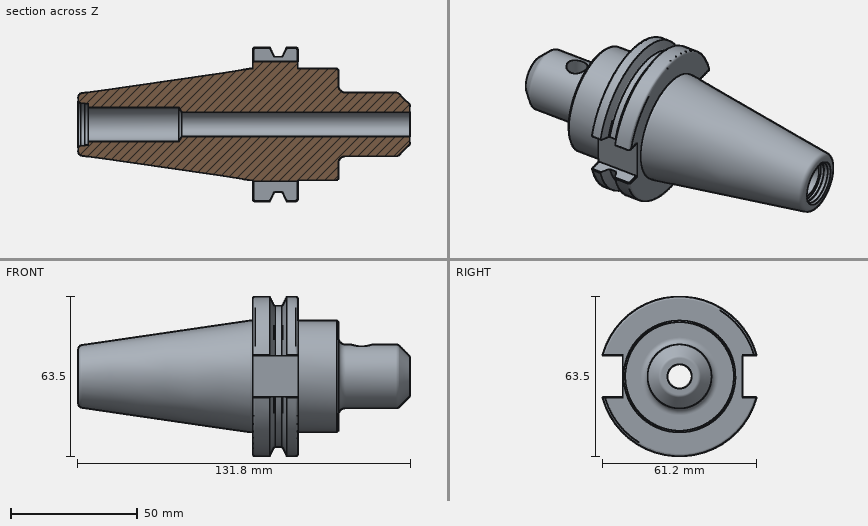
import cadquery as cq
import math

TOLERANCE = 0.01

gauge_radius = 44.45 / 2
taper_length = 68.25
taper_slope = 7 / 48
small_end_radius = gauge_radius - taper_length * taper_slope
small_end_fillet = 1.9

flange_front = 1.0
flange_rear = 19.05
flange_radius = 63.5 / 2
flange_edge_fillet = 1.0
groove_center = 11.2
groove_floor_radius = 28.1
groove_floor_half = 3.2 / 2
groove_mouth_half = 6.8 / 2
groove_floor_fillet = 0.5

slot_width = 16.3
slot_floor_minus_y = 22.6
slot_floor_plus_y = 25.0
slot_wall_chamfer = 0.4

collar_radius = gauge_radius
collar_rear = 35.1
collar_edge_chamfer = 0.7
pilot_radius = 25.4 / 2
pilot_root_fillet = 2.7
pilot_end = 63.5
pilot_chamfer = 4.8
pilot_chamfer_fillet = 1.5
pilot_end_fillet = 1.5

through_bore_radius = 9.53 / 2
thread_bore_radius = 13.39 / 2
thread_bore_depth = 40.0
drill_tip_angle = 118
mouth_radius = 16.8 / 2
mouth_depth = 2.7
mouth_chamfer_depth = 1.0
mouth_chamfer_half_angle = 30
counterbore_radius = 16.3 / 2
counterbore_depth = 4.0

cross_hole_diameter = 8.38
cross_hole_x = 44.3


def revolve_about_x(profile):
    return profile.close().revolve(360, (0, 0, 0), (1, 0, 0))


def turned_body():
    """Outer shape of taper, flange, collar and pilot, before its edges are rounded."""
    profile = (
        cq.Workplane("XZ")
        .moveTo(-taper_length, 0)
        .lineTo(-taper_length, small_end_radius)
        .lineTo(0, gauge_radius)
        .lineTo(flange_front, gauge_radius)
        .lineTo(flange_front, flange_radius)
        .lineTo(groove_center - groove_mouth_half, flange_radius)
        .lineTo(groove_center - groove_floor_half, groove_floor_radius)
        .lineTo(groove_center + groove_floor_half, groove_floor_radius)
        .lineTo(groove_center + groove_mouth_half, flange_radius)
        .lineTo(flange_rear, flange_radius)
        .lineTo(flange_rear, collar_radius)
        .lineTo(collar_rear - collar_edge_chamfer, collar_radius)
        .lineTo(collar_rear, collar_radius - collar_edge_chamfer)
        .lineTo(collar_rear, pilot_radius)
        .lineTo(pilot_end - pilot_chamfer, pilot_radius)
        .lineTo(pilot_end, pilot_radius - pilot_chamfer)
        .lineTo(pilot_end, 0)
    )
    return revolve_about_x(profile)


def round_edge(body, x, radius, fillet):
    """Fillet the circular edge of the given radius at the given X."""
    reach = radius + TOLERANCE
    low = (x - TOLERANCE, -reach, -reach)
    high = (x + TOLERANCE, reach, reach)
    nearby = body.edges(cq.selectors.BoxSelector(low, high, boundingbox=True)).vals()
    circles = [edge for edge in nearby if edge.geomType() == "CIRCLE"]
    edges = [edge for edge in circles if abs(edge.radius() - radius) < TOLERANCE]
    return body.newObject(edges).fillet(fillet)


def round_turned_edges(body):
    body = round_edge(body, -taper_length, small_end_radius, small_end_fillet)
    for x in (flange_front, flange_rear):
        body = round_edge(body, x, flange_radius, flange_edge_fillet)
    for x in (groove_center - groove_floor_half, groove_center + groove_floor_half):
        body = round_edge(body, x, groove_floor_radius, groove_floor_fillet)
    body = round_edge(body, collar_rear, pilot_radius, pilot_root_fillet)
    body = round_edge(body, pilot_end - pilot_chamfer, pilot_radius, pilot_chamfer_fillet)
    return round_edge(body, pilot_end, pilot_radius - pilot_chamfer, pilot_end_fillet)


def axial_bore():
    """Chamfered mouth, stepped counterbore, thread bore with a conical end, and through bore."""
    tip_length = (thread_bore_radius - through_bore_radius) / math.tan(math.radians(drill_tip_angle / 2))
    mouth_chamfer_width = mouth_chamfer_depth * math.tan(math.radians(mouth_chamfer_half_angle))
    front = -taper_length
    profile = (
        cq.Workplane("XZ")
        .moveTo(front, 0)
        .lineTo(front, mouth_radius + mouth_chamfer_width)
        .lineTo(front + mouth_chamfer_depth, mouth_radius)
        .lineTo(front + mouth_depth, mouth_radius)
        .lineTo(front + mouth_depth, counterbore_radius)
        .lineTo(front + counterbore_depth, counterbore_radius)
        .lineTo(front + counterbore_depth, thread_bore_radius)
        .lineTo(front + thread_bore_depth, thread_bore_radius)
        .lineTo(front + thread_bore_depth + tip_length, through_bore_radius)
        .lineTo(pilot_end, through_bore_radius)
        .lineTo(pilot_end, 0)
    )
    return revolve_about_x(profile)


def drive_slot(side, floor):
    """Slot block on the +Y (side = 1) or -Y (side = -1) flank of the flange."""
    depth = flange_radius - floor
    length = flange_rear - flange_front
    center = ((flange_front + flange_rear) / 2, side * (floor + depth / 2), 0)
    return cq.Workplane("XY").box(length, depth, slot_width).translate(center)


def chamfer_slot_walls(body):
    """Break the outer, front and rear edges of the slot walls beside the groove."""
    low = (flange_front, -flange_radius, -slot_width)
    high = (flange_rear, flange_radius, slot_width)
    edges = []
    for face in body.faces(cq.selectors.BoxSelector(low, high)).vals():
        at_wall_height = abs(abs(face.Center().z) - slot_width / 2) < TOLERANCE
        if face.geomType() != "PLANE" or not at_wall_height:
            continue
        for edge in face.Edges():
            if abs(edge.Center().x - groove_center) >= groove_mouth_half:
                edges.append(edge)
    return body.newObject(edges).chamfer(slot_wall_chamfer)


def cross_hole():
    return cq.Workplane("XY").center(cross_hole_x, 0).circle(cross_hole_diameter / 2).extrude(pilot_radius)


body = round_turned_edges(turned_body())
body = body.cut(axial_bore())
body = body.cut(drive_slot(-1, slot_floor_minus_y))
body = body.cut(drive_slot(1, slot_floor_plus_y))
body = chamfer_slot_walls(body)
result = body.cut(cross_hole())